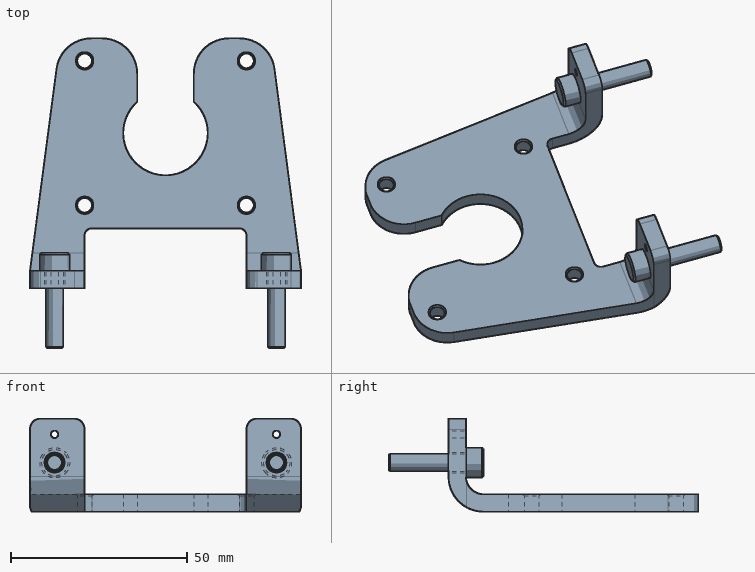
import cadquery as cq
import math

THICKNESS = 5.0
BRACKET_LENGTH = 71.0
BRACKET_HEIGHT = 26.5
HALF_WIDTH = 77.0 / 2
REAR_HALF_WIDTH = 29.8
LOBE_RADIUS = 10.0

BEND_INNER_RADIUS = 5.0
BEND_OUTER_RADIUS = BEND_INNER_RADIUS + THICKNESS
TAB_CORNER_RADIUS = 3.0

GAP_HALF_WIDTH = 23.0
GAP_DEPTH = 17.0
GAP_CORNER_RADIUS = 2.0

KEYHOLE_RADIUS = 12.0
KEYHOLE_Y = BRACKET_LENGTH - 26.9
SLOT_HALF_WIDTH = 8.0

PLATE_HOLE_DIAMETER = 4.1
PLATE_HOLE_RIM_DIAMETER = 5.0
PLATE_HOLE_X = GAP_HALF_WIDTH
PLATE_HOLE_REAR_Y = BRACKET_LENGTH - 6.4
PLATE_HOLE_PITCH_Y = 41.0

BOLT_X = 31.5
BOLT_Z = 14.0
BOLT_HOLE_DIAMETER = 5.7
PILOT_HOLE_DIAMETER = 2.0
PILOT_HOLE_Z = 22
HEAD_DIAMETER = 8.5
HEAD_LENGTH = 5.0
HEAD_CHAMFER = 0.5
SHANK_DIAMETER = 5.0
SHANK_PROTRUSION = 17.0
TIP_CHAMFER = 0.4


def bent_sheet():
    """L-shaped sheet of constant thickness, extruded across the full width."""
    diagonal = math.sqrt(0.5)
    outer_mid = BEND_OUTER_RADIUS * (1 - diagonal)
    inner_mid = BEND_OUTER_RADIUS - BEND_INNER_RADIUS * diagonal
    profile = (
        cq.Workplane("YZ")
        .moveTo(BRACKET_LENGTH, 0)
        .lineTo(BEND_OUTER_RADIUS, 0)
        .threePointArc((outer_mid, outer_mid), (0, BEND_OUTER_RADIUS))
        .lineTo(0, BRACKET_HEIGHT)
        .lineTo(THICKNESS, BRACKET_HEIGHT)
        .lineTo(THICKNESS, BEND_OUTER_RADIUS)
        .threePointArc((inner_mid, inner_mid), (BEND_OUTER_RADIUS, THICKNESS))
        .lineTo(BRACKET_LENGTH, THICKNESS)
        .close()
    )
    return profile.extrude(HALF_WIDTH, both=True)


def plan_outline():
    """Prism of the plan outline: straight across the tabs, then tapering to the rear edge."""
    return (
        cq.Workplane("XY")
        .polyline([
            (-HALF_WIDTH, 0),
            (HALF_WIDTH, 0),
            (HALF_WIDTH, THICKNESS),
            (REAR_HALF_WIDTH, BRACKET_LENGTH),
            (-REAR_HALF_WIDTH, BRACKET_LENGTH),
            (-HALF_WIDTH, THICKNESS),
        ])
        .close()
        .extrude(BRACKET_HEIGHT)
    )


def tab_gap():
    """Cutter for the rounded rectangular gap between the two tabs."""
    return (
        cq.Workplane("XY")
        .rect(2 * GAP_HALF_WIDTH, 2 * GAP_DEPTH)
        .extrude(BRACKET_HEIGHT)
        .edges("|Z")
        .fillet(GAP_CORNER_RADIUS)
    )


def rear_slot():
    """Cutter for the straight slot from the keyhole circle out through the rear edge."""
    slot_length = BRACKET_LENGTH - KEYHOLE_Y
    return (
        cq.Workplane("XY")
        .center(0, KEYHOLE_Y + slot_length / 2)
        .rect(2 * SLOT_HALF_WIDTH, slot_length)
        .extrude(THICKNESS)
    )


def keyhole_circle():
    """Cutter for the round part of the keyhole."""
    return cq.Workplane("XY").center(0, KEYHOLE_Y).circle(KEYHOLE_RADIUS).extrude(THICKNESS)


def plate_holes():
    """Cutter for the four plate holes, each with a small countersunk rim on top."""
    front_y = PLATE_HOLE_REAR_Y - PLATE_HOLE_PITCH_Y
    places = [(x, y) for x in (-PLATE_HOLE_X, PLATE_HOLE_X) for y in (front_y, PLATE_HOLE_REAR_Y)]
    rim_depth = (PLATE_HOLE_RIM_DIAMETER - PLATE_HOLE_DIAMETER) / 2
    bores = cq.Workplane("XY").pushPoints(places).circle(PLATE_HOLE_DIAMETER / 2).extrude(THICKNESS)
    rims = (
        cq.Workplane("XY", origin=(0, 0, THICKNESS))
        .pushPoints(places)
        .circle(PLATE_HOLE_RIM_DIAMETER / 2)
        .extrude(-rim_depth, taper=45)
    )
    return bores.union(rims)


def tab_holes(diameter, height):
    """Cutter for one hole through each tab at the given height."""
    return (
        cq.Workplane("XZ")
        .pushPoints([(-BOLT_X, height), (BOLT_X, height)])
        .circle(diameter / 2)
        .extrude(-THICKNESS)
    )


def head_seats():
    """Cutter that seats the bolt heads flat on the tabs where they reach the start of the bend."""
    return (
        cq.Workplane("XZ", origin=(0, THICKNESS, BOLT_Z))
        .pushPoints([(-BOLT_X, 0), (BOLT_X, 0)])
        .circle(HEAD_DIAMETER / 2)
        .extrude(-HEAD_LENGTH)
    )


def make_bracket():
    """Bent plate with two upright tabs, a rear keyhole and its mounting holes."""
    body = bent_sheet().intersect(plan_outline()).cut(tab_gap())
    body = body.edges("|Y and >Z").fillet(TAB_CORNER_RADIUS)
    body = body.cut(rear_slot())
    body = body.faces(">Y").edges("|Z").fillet(LOBE_RADIUS)
    body = body.cut(keyhole_circle()).cut(plate_holes())
    body = body.cut(tab_holes(BOLT_HOLE_DIAMETER, BOLT_Z)).cut(head_seats())
    return body.cut(tab_holes(PILOT_HOLE_DIAMETER, PILOT_HOLE_Z))


def make_bolt(x):
    """Bolt with its head seated on the inner tab face and its shank pointing to -Y."""
    seat = cq.Workplane("XZ", origin=(x, THICKNESS, BOLT_Z))
    head = seat.circle(HEAD_DIAMETER / 2).extrude(-HEAD_LENGTH).faces(">Y").chamfer(HEAD_CHAMFER)
    shank = (
        seat.circle(SHANK_DIAMETER / 2)
        .extrude(THICKNESS + SHANK_PROTRUSION)
        .faces("<Y")
        .chamfer(TIP_CHAMFER)
    )
    return head.union(shank)


bracket = make_bracket()
bolts = [make_bolt(x) for x in (-BOLT_X, BOLT_X)]

result = cq.Compound.makeCompound([bracket.val(), *[bolt.val() for bolt in bolts]])